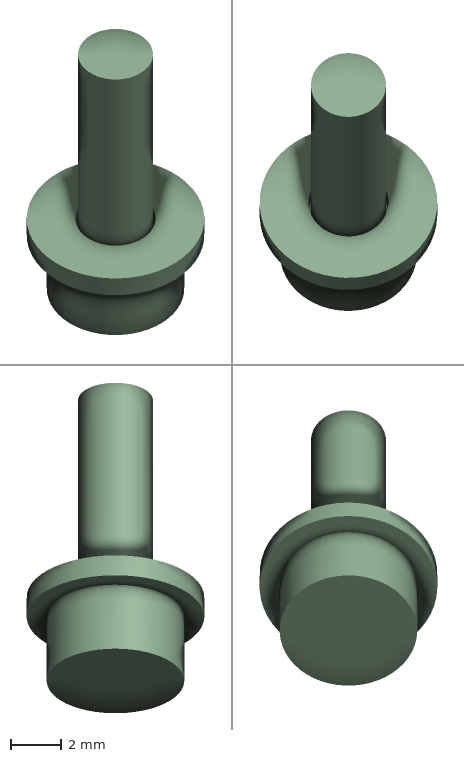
import cadquery as cq

total_height = 12.7

head_diameter = 5.5
head_height = 2.9
shank_diameter = 3.0

washer_diameter = 7.1
washer_bore = 3.2
washer_thickness = 0.9


def make_pin():
    """Cylindrical head with a plain shank rising from it."""
    head = cq.Workplane("XY").circle(head_diameter / 2).extrude(head_height)
    shank_length = total_height - head_height
    return head.faces(">Z").workplane().circle(shank_diameter / 2).extrude(shank_length)


def make_washer():
    """Flat ring seated on the top face of the head."""
    return (
        cq.Workplane("XY", origin=(0, 0, head_height))
        .circle(washer_diameter / 2)
        .circle(washer_bore / 2)
        .extrude(washer_thickness)
    )


pin = make_pin()
washer = make_washer()

result = cq.Compound.makeCompound([pin.val(), washer.val()])